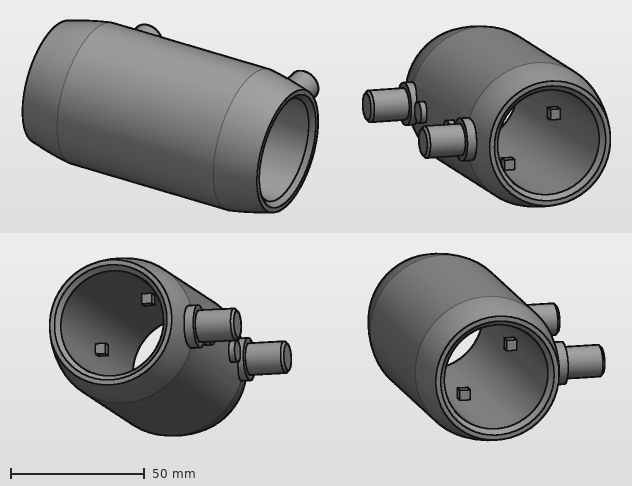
import cadquery as cq

LENGTH = 100.0
BODY_RADIUS = 27.5
END_RADIUS = 23.8
TAPER_LENGTH = 16.7
TAPER_SAG = 0.3
BORE_RADIUS = 20.0
BORE_MOUTH_RADIUS = 21.9
BORE_MOUTH_DEPTH = 2.0

FLANGE_RADIUS = 8.0
FLANGE_TOP = 29.8
PIN_RADIUS = 6.0
PIN_TIP = 44.5
PIN_CHAMFER = 1.0
FLANGE_CHAMFER_HEIGHT = 0.2
FLANGE_CHAMFER_WIDTH = 1.0

BUTTON_RADIUS = 4.0
BUTTON_TOP = 29.7
BUTTON_OFFSET = 17.2

STOP_COUNT = 4
STOP_WIDTH = 4.0
STOP_LENGTH = 4.0
STOP_TIP_RADIUS = 16.2

half_length = LENGTH / 2
shoulder = half_length - TAPER_LENGTH
wall_middle = (BODY_RADIUS + BORE_RADIUS) / 2


def make_sleeve():
    """Tube wall section, with both tapers and bore mouths, revolved about X."""
    taper_middle_x = (shoulder + half_length) / 2
    taper_middle_radius = (BODY_RADIUS + END_RADIUS) / 2 + TAPER_SAG
    mouth_bottom = half_length - BORE_MOUTH_DEPTH
    section = (
        cq.Workplane("XY")
        .moveTo(-shoulder, BODY_RADIUS)
        .lineTo(shoulder, BODY_RADIUS)
        .threePointArc((taper_middle_x, taper_middle_radius), (half_length, END_RADIUS))
        .lineTo(half_length, BORE_MOUTH_RADIUS)
        .lineTo(mouth_bottom, BORE_RADIUS)
        .lineTo(-mouth_bottom, BORE_RADIUS)
        .lineTo(-half_length, BORE_MOUTH_RADIUS)
        .lineTo(-half_length, END_RADIUS)
        .threePointArc((-taper_middle_x, taper_middle_radius), (-shoulder, BODY_RADIUS))
        .close()
    )
    return section.revolve(360, (0, 0, 0), (1, 0, 0))


def make_disc(x, radius, bottom, top):
    """Cylinder along +Y between two distances from the sleeve axis."""
    base = cq.Workplane("XZ", origin=(x, bottom, 0))
    return base.circle(radius).extrude(bottom - top)


def make_terminal(x):
    """Chamfered flange rooted in the sleeve wall, carrying a chamfered pin."""
    flange = make_disc(x, FLANGE_RADIUS, wall_middle, FLANGE_TOP)
    flange = flange.faces(">Y").chamfer(FLANGE_CHAMFER_HEIGHT, FLANGE_CHAMFER_WIDTH)
    pin = make_disc(x, PIN_RADIUS, wall_middle, PIN_TIP)
    pin = pin.faces(">Y").chamfer(PIN_CHAMFER)
    return flange.union(pin)


def make_stops():
    """Ring of blocks rooted in the wall, their tips rounded about the sleeve axis."""
    clearance = cq.Workplane("YZ").circle(STOP_TIP_RADIUS).extrude(STOP_LENGTH / 2, both=True)
    block = cq.Workplane("XY").box(STOP_LENGTH, STOP_WIDTH, wall_middle, centered=(True, True, False))
    stops = block
    for index in range(1, STOP_COUNT):
        stops = stops.union(block.rotate((0, 0, 0), (1, 0, 0), index * 360 / STOP_COUNT))
    return stops.cut(clearance)


result = make_sleeve().union(make_stops())
for side in (-1, 1):
    result = result.union(make_terminal(side * shoulder))
    result = result.union(make_disc(side * BUTTON_OFFSET, BUTTON_RADIUS, wall_middle, BUTTON_TOP))